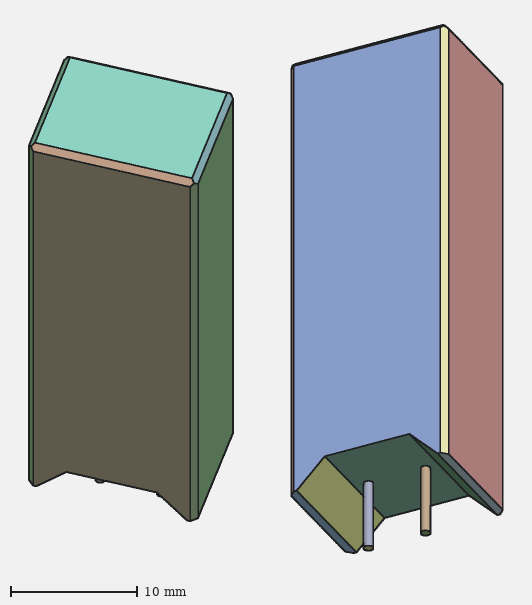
import cadquery as cq

housing_length = 14.0
housing_width = 10.5
housing_height = 40.0
edge_chamfer = 0.5

notch_depth = 2.5
notch_top_length = 7.5
notch_bottom_length = notch_top_length + 2 * notch_depth

pin_diameter = 0.8
pin_pitch = 5.08
pin_length = 6.0


def make_housing():
    """Chamfered block with a trapezoidal notch running through it along Y."""
    box = cq.Workplane("XY").box(
        housing_length, housing_width, housing_height, centered=(True, True, False)
    )
    top_chamfered = box.faces(">Z").chamfer(edge_chamfer)
    sides_chamfered = box.edges("|Z").chamfer(edge_chamfer)
    block = top_chamfered.intersect(sides_chamfered)
    notch = (
        cq.Workplane("XZ")
        .moveTo(-notch_bottom_length / 2, 0)
        .lineTo(-notch_top_length / 2, notch_depth)
        .lineTo(notch_top_length / 2, notch_depth)
        .lineTo(notch_bottom_length / 2, 0)
        .close()
        .extrude(housing_width / 2, both=True)
    )
    return block.cut(notch)


def make_pin(x):
    """Round pin whose upper end touches the notch ceiling."""
    return (
        cq.Workplane("XY", origin=(x, 0, notch_depth))
        .circle(pin_diameter / 2)
        .extrude(-pin_length)
    )


housing = make_housing()
pins = [make_pin(side * pin_pitch / 2) for side in (-1, 1)]

result = cq.Compound.makeCompound([housing.val(), *[pin.val() for pin in pins]])